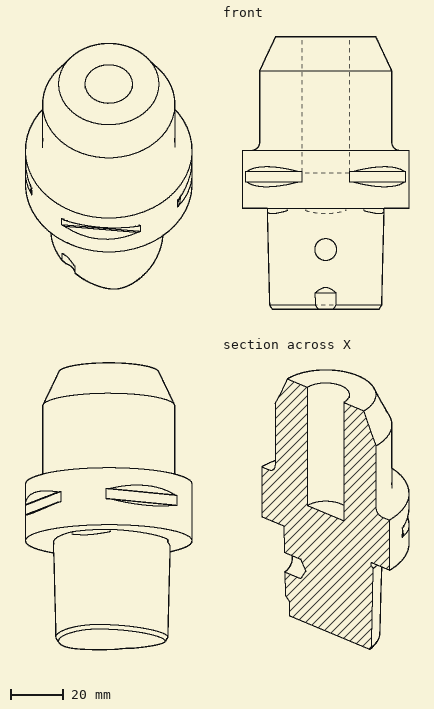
import cadquery as cq
import math

total_height = 103.0
shank_chamfer_height = 1.5
taper_top = 35.0
flange_bottom = 38.1
flange_top = 60.0
nose_cone_bottom = 90.0

flange_radius = 31.5
body_radius = 25.0
nose_radius = 19.0
body_fillet = 3.0
bore_radius = 9.0
bore_depth = 51.5

shank_mean_radius = 22.0
lobe_height = 1.4
lobe_count = 3
lobe_direction = math.radians(90)
outline_points = 72
taper_slope = 1 / 40
shank_chamfer_width = 1.0

relief_radius = 22.4
relief_arc = 0.9
relief_arc_drop = 0.5
relief_outer_radius = 24.7

groove_height = 50.1
groove_floor_distance = 27.7
groove_flank_distance = 28.3
groove_floor_width = 3.9
groove_mouth_width = 7.6
groove_first_angle = 45
groove_count = 4

hole_height = 22.6
hole_radius = 4.1
hole_depth = 8.2
hole_tip_angle = 118
notch_radius = 5.4
notch_height = 6.2
notch_axis_offset = 3.5
notch_tip_angle = 90


def turned(points):
    """Solid of revolution about Z from (radius, height) points."""
    return cq.Workplane("XZ").polyline(points).close().revolve(360, (0, 0), (0, 1))


def drill(radius, depth, tip_angle):
    """Drill along +Z from the origin, with a pointed tip beyond its full depth."""
    tip = radius / math.tan(math.radians(tip_angle / 2))
    return turned([(0, 0), (radius, 0), (radius, depth), (0, depth + tip)])


def lobed_point(mean_radius, angle):
    """Point of the constant-width lobed outline whose outward normal lies at the angle."""
    phase = lobe_count * (angle - lobe_direction)
    normal = mean_radius + lobe_height * math.cos(phase)
    tangent = -lobe_count * lobe_height * math.sin(phase)
    x = normal * math.cos(angle) - tangent * math.sin(angle)
    y = normal * math.sin(angle) + tangent * math.cos(angle)
    return x, y


def lobed_outline(workplane, mean_radius):
    """Closed lobed curve drawn on the workplane, starting on the flat side at -Y."""
    step = 2 * math.pi / outline_points
    angles = [-math.pi / 2 + index * step for index in range(outline_points)]
    points = [lobed_point(mean_radius, angle) for angle in angles]
    return workplane.spline(points, periodic=True, makeWire=True)


def lobed_frustum(bottom, bottom_radius, top, top_radius):
    """Lobed solid between two heights, its mean radius changing evenly from one to the other."""
    lower = lobed_outline(cq.Workplane("XY").workplane(offset=bottom), bottom_radius)
    upper = lobed_outline(lower.workplane(offset=top - bottom), top_radius)
    return upper.loft(ruled=True)


def make_body():
    profile = (
        cq.Workplane("XZ")
        .moveTo(0, flange_bottom)
        .lineTo(flange_radius, flange_bottom)
        .lineTo(flange_radius, flange_top)
        .lineTo(body_radius + body_fillet, flange_top)
        .radiusArc((body_radius, flange_top + body_fillet), body_fillet)
        .lineTo(body_radius, nose_cone_bottom)
        .lineTo(nose_radius, total_height)
        .lineTo(0, total_height)
        .close()
    )
    return profile.revolve(360, (0, 0), (0, 1))


def make_shank():
    lower_radius = shank_mean_radius - (taper_top - shank_chamfer_height) * taper_slope
    chamfer = lobed_frustum(0, lower_radius - shank_chamfer_width, shank_chamfer_height, lower_radius)
    taper = lobed_frustum(shank_chamfer_height, lower_radius, taper_top, shank_mean_radius)
    neck = lobed_outline(cq.Workplane("XY").workplane(offset=taper_top), shank_mean_radius)
    neck = neck.extrude(flange_bottom - taper_top)
    return chamfer.union(taper).union(neck)


def make_lobe_relief():
    arc_center_radius = relief_radius + relief_arc
    arc_center_height = flange_bottom - relief_arc_drop
    arc_top_radius = arc_center_radius - math.sqrt(relief_arc**2 - relief_arc_drop**2)
    cone_start_radius = arc_center_radius - relief_arc * math.cos(math.pi / 4)
    cone_start_height = arc_center_height - relief_arc * math.sin(math.pi / 4)
    cone_drop = relief_outer_radius - cone_start_radius
    profile = (
        cq.Workplane("XZ")
        .moveTo(arc_top_radius, flange_bottom)
        .threePointArc((relief_radius, arc_center_height), (cone_start_radius, cone_start_height))
        .lineTo(relief_outer_radius, cone_start_height - cone_drop)
        .lineTo(relief_outer_radius, flange_bottom)
        .close()
    )
    return profile.revolve(360, (0, 0), (0, 1))


def make_gripper_groove(angle):
    """V groove with a sunken flat floor, running straight across the flange rim at the angle."""
    floor_half = groove_floor_width / 2
    mouth_half = groove_mouth_width / 2
    section = [
        (groove_floor_distance, groove_height - floor_half),
        (groove_flank_distance, groove_height - floor_half),
        (flange_radius, groove_height - mouth_half),
        (flange_radius, groove_height + mouth_half),
        (groove_flank_distance, groove_height + floor_half),
        (groove_floor_distance, groove_height + floor_half),
    ]
    groove = cq.Workplane("XZ").polyline(section).close().extrude(flange_radius, both=True)
    return groove.rotate((0, 0, 0), (0, 0, 1), angle)


def make_side_hole():
    flat_side = shank_mean_radius - lobe_height
    hole = drill(hole_radius, hole_depth, hole_tip_angle)
    return hole.rotate((0, 0, 0), (1, 0, 0), -90).translate((0, -flat_side, hole_height))


def make_key_notch():
    flat_side = shank_mean_radius - lobe_height - taper_top * taper_slope
    notch = drill(notch_radius, notch_height, notch_tip_angle)
    return notch.translate((0, -flat_side - notch_axis_offset, 0))


shank = make_shank().cut(make_lobe_relief()).cut(make_side_hole()).cut(make_key_notch())
body = make_body()
for index in range(groove_count):
    body = body.cut(make_gripper_groove(groove_first_angle + index * 360 / groove_count))

bore = (
    cq.Workplane("XY")
    .workplane(offset=total_height - bore_depth)
    .circle(bore_radius)
    .extrude(bore_depth)
)
result = body.union(shank).cut(bore)